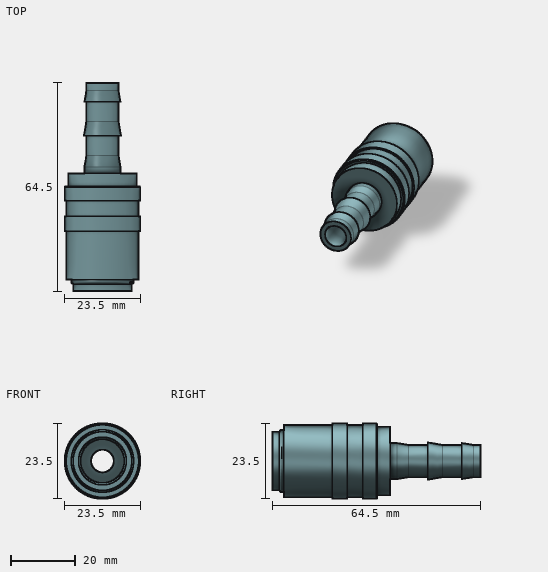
import cadquery as cq

length = 64.5
tail_end = length / 2

stem_radius = 5.0
barb_radius = 5.6
middle_barb_radius = 5.8
collar_radius = 10.65
band_radius = 11.75
body_radius = 11.2
mouth_radius = 9.1
bore_radius = 3.5
socket_radius = 6.8
socket_lead_radius = 7.4

tip_length = 2.3
barb_length = 3.55
middle_barb_length = 4.5
barb_gap = 6.0
collar_start = 28.0
rear_band_start = 31.9
rear_band_end = 36.45
front_band_start = 41.35
front_band_end = 45.9
body_end = 60.9

band_chamfer = 0.4
socket_lead_depth = 0.65

bead_radius = 0.8
bead_crest_radius = 9.7
bead_offset = 0.65


def cylinder(radius, start, end):
    """Cylinder between two distances from the tail end."""
    axis = cq.Vector(0, -1, 0)
    return cq.Workplane(cq.Solid.makeCylinder(radius, end - start, cq.Vector(0, tail_end - start, 0), axis))


def cone(start_radius, end_radius, start, end):
    """Cone frustum between two distances from the tail end."""
    base = cq.Vector(0, tail_end - start, 0)
    axis = cq.Vector(0, -1, 0)
    return cq.Workplane(cq.Solid.makeCone(start_radius, end_radius, end - start, base, axis))


def make_hose_tail():
    tail = cylinder(stem_radius, 0, collar_start)
    start = tip_length
    barbs = (
        (barb_radius, barb_length),
        (middle_barb_radius, middle_barb_length),
        (barb_radius, barb_length),
    )
    for radius, run in barbs:
        tail = tail.union(cone(stem_radius, radius, start, start + run))
        last_barb_end = start + run
        start = last_barb_end + barb_gap
    return tail.union(cylinder(barb_radius, last_barb_end, collar_start))


def make_body():
    collar = cylinder(collar_radius, collar_start, rear_band_end)
    body = cylinder(body_radius, rear_band_end, body_end)
    rear_band = cylinder(band_radius, rear_band_start, rear_band_end).faces(">Y").chamfer(band_chamfer)
    front_band = cylinder(band_radius, front_band_start, front_band_end)
    mouth = cylinder(mouth_radius, body_end, length)
    return collar.union(body).union(rear_band).union(front_band).union(mouth)


def make_bead():
    center_radius = bead_crest_radius - bead_radius
    center_y = tail_end - body_end - bead_offset
    ring = cq.Solid.makeTorus(center_radius, bead_radius, cq.Vector(0, center_y, 0), cq.Vector(0, 1, 0))
    return cq.Workplane(ring).intersect(cylinder(bead_crest_radius, body_end, length))


def make_cavity():
    bore = cylinder(bore_radius, 0, length)
    socket = cylinder(socket_radius, rear_band_end, length)
    lead = cone(socket_radius, socket_lead_radius, length - socket_lead_depth, length)
    return bore.union(socket).union(lead)


result = make_hose_tail().union(make_body()).union(make_bead()).cut(make_cavity())